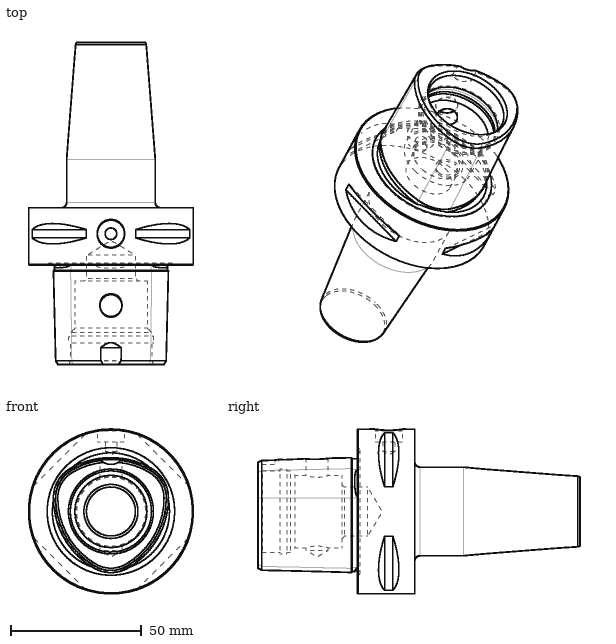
import cadquery as cq
import math


total_length = 123
shank_length = 37.9
flange_length = 22.0
neck_length = 18.5
nose_end = total_length - shank_length
neck_end = flange_length + neck_length

flange_radius = 31.5
flange_chamfer = 0.4
neck_radius = 17.0
nose_tip_radius = 13.5
nose_tip_chamfer_length = 0.9
nose_tip_chamfer_inset = 0.4
neck_fillet = 2.0

lobe_center_distance = 10.3
lobe_radius = 13.0
lobe_angles = (30, 150, 270)
flank_radius = lobe_radius + lobe_center_distance * math.sqrt(3)
flat_height = flank_radius - lobe_center_distance
taper_per_length = 1 / 40
shank_taper = math.degrees(math.atan(taper_per_length))
shank_end_chamfer_length = 1.5
shank_end_chamfer_angle = 30
undercut_length = 1.8
undercut_depth = 0.4
edge_chamfer_angle = 45

relief_groove_radius = 23.4
relief_groove_section = 1.0

bore_entry_radius = 16.2
bore_entry_length = 1.7
bore_radius = 15.5
clamping_groove_radius = 16.2
clamping_groove_start = 8.4
clamping_groove_end = 11.1
lead_cone_start = 12.3
inner_bore_radius = 13.8
inner_bore_depth = 32
core_hole_chamfer = 1.0
core_hole_radius = 9.3
core_hole_depth = 41.8
drill_half_angle = 59

gripper_position = 12.0
gripper_floor_width = 3.2
gripper_floor_distance = 27.9
gripper_wall_angle = 33

coding_hole_radius = 5.2
coding_hole_floor = 26.7
coding_pilot_radius = 2.2
coding_pilot_depth = 3.7

shank_hole_position = -15.4
shank_hole_radius = 4.2
shank_hole_floor = -14.8
hole_chamfer = 0.31

keyway_radius = 5.5
keyway_floor = 18.0
keyway_length = 6.4
keyway_tip_half_angle = 45


def revolve_about_y(points):
    """Revolve a closed outline of (radius, y) points about the tool axis."""
    return cq.Workplane("XY").polyline(points).close().revolve(360, (0, 0, 0), (0, 1, 0))


def drill_tip_length(radius):
    return radius / math.tan(math.radians(drill_half_angle))


def shank_prism(start, length, inset=0, taper=0):
    """Polygonal prism from depth `start` towards -Y, its outline moved inwards by `inset`.

    Each lobe arc spans 30 degrees to both sides of its lobe, up to the flank arcs.
    """
    small_radius = lobe_radius - inset
    large_radius = flank_radius - inset

    def lobe_point(lobe_angle, normal_angle):
        lobe, normal = math.radians(lobe_angle), math.radians(normal_angle)
        return (
            lobe_center_distance * math.cos(lobe) + small_radius * math.cos(normal),
            lobe_center_distance * math.sin(lobe) + small_radius * math.sin(normal),
        )

    def flank_point(angle):
        distance = large_radius - lobe_center_distance
        return distance * math.cos(math.radians(angle)), distance * math.sin(math.radians(angle))

    plane = cq.Plane(origin=(0, -start, 0), xDir=(1, 0, 0), normal=(0, -1, 0))
    outline = cq.Workplane(plane).moveTo(*lobe_point(lobe_angles[0], lobe_angles[0] - 30))
    for lobe in lobe_angles:
        outline = outline.threePointArc(lobe_point(lobe, lobe), lobe_point(lobe, lobe + 30))
        outline = outline.threePointArc(flank_point(lobe + 60), lobe_point(lobe + 120, lobe + 90))
    return outline.close().extrude(length, taper=taper)


def flange_and_nose():
    body = revolve_about_y([
        (0, 0),
        (flange_radius, 0),
        (flange_radius, flange_length),
        (neck_radius, flange_length),
        (neck_radius, neck_end),
        (nose_tip_radius, nose_end - nose_tip_chamfer_length),
        (nose_tip_radius - nose_tip_chamfer_inset, nose_end),
        (0, nose_end),
    ])
    body = body.faces("<Y").chamfer(flange_chamfer)
    flange_front = body.faces("%PLANE").faces(">Y[-2]")
    neck_corner = flange_front.edges(cq.selectors.RadiusNthSelector(0))
    return neck_corner.fillet(neck_fillet)


def shank():
    undercut = shank_prism(0, undercut_length, undercut_depth)
    edge = shank_prism(undercut_length, undercut_depth, undercut_depth, -edge_chamfer_angle)
    taper_start = undercut_length + undercut_depth
    taper_end = shank_length - shank_end_chamfer_length
    taper_length = taper_end - taper_start
    taper_inset = taper_length * taper_per_length
    taper_body = shank_prism(taper_start, taper_length, 0, shank_taper)
    end = shank_prism(taper_end, shank_end_chamfer_length, taper_inset, shank_end_chamfer_angle)
    return undercut.union(edge).union(taper_body).union(end)


def relief_groove():
    section = cq.Workplane("XY").center(relief_groove_radius, 0).circle(relief_groove_section)
    return section.revolve(360, (-relief_groove_radius, 0, 0), (-relief_groove_radius, 1, 0))


def shank_bore():
    lead_cone_length = bore_radius - inner_bore_radius
    steps = [
        (0, 0),
        (bore_entry_radius, 0),
        (bore_radius, bore_entry_length),
        (bore_radius, lead_cone_start),
        (inner_bore_radius, lead_cone_start + lead_cone_length),
        (inner_bore_radius, inner_bore_depth),
        (core_hole_radius + core_hole_chamfer, inner_bore_depth),
        (core_hole_radius, inner_bore_depth + core_hole_chamfer),
        (core_hole_radius, core_hole_depth),
        (0, core_hole_depth + drill_tip_length(core_hole_radius)),
    ]
    return revolve_about_y([(radius, depth - shank_length) for radius, depth in steps])


def clamping_groove():
    """Groove in the bore with a square rear wall and a rounded far corner."""
    corner_radius = clamping_groove_radius - bore_radius
    corner_start = clamping_groove_end - corner_radius
    corner_offset = corner_radius * math.sqrt(0.5)
    groove = (
        cq.Workplane("XY")
        .moveTo(0, clamping_groove_start)
        .lineTo(clamping_groove_radius, clamping_groove_start)
        .lineTo(clamping_groove_radius, corner_start)
        .threePointArc(
            (bore_radius + corner_offset, corner_start + corner_offset),
            (bore_radius, clamping_groove_end),
        )
        .lineTo(0, clamping_groove_end)
        .close()
        .revolve(360, (0, 0, 0), (0, 1, 0))
    )
    return groove.translate((0, -shank_length, 0))


def gripper_pockets():
    """Four straight pockets with sloping walls across the flange, on its diagonals."""
    depth = flange_radius - gripper_floor_distance
    half_floor = gripper_floor_width / 2
    half_top = half_floor + depth * math.tan(math.radians(gripper_wall_angle))
    profile = [
        (gripper_floor_distance, gripper_position - half_floor),
        (flange_radius, gripper_position - half_top),
        (flange_radius, gripper_position + half_top),
        (gripper_floor_distance, gripper_position + half_floor),
    ]
    pocket = cq.Workplane("XY").polyline(profile).close().extrude(flange_radius, both=True)
    pockets = cq.Workplane("XY")
    for angle in (45, 135, 225, 315):
        pockets = pockets.add(pocket.rotate((0, 0, 0), (0, 1, 0), angle))
    return pockets.combine()


def vertical_hole(y, outline):
    """Round hole from +Z at `y`, given as a (radius, z) outline."""
    hole = cq.Workplane("XZ").polyline(outline).close().revolve(360, (0, 0, 0), (0, 1, 0))
    return hole.translate((0, y, 0))


def coding_hole():
    pilot_floor = coding_hole_floor - coding_pilot_depth
    return vertical_hole(gripper_position, [
        (0, flange_radius),
        (coding_hole_radius + hole_chamfer, flange_radius),
        (coding_hole_radius, flange_radius - 2 * hole_chamfer),
        (coding_hole_radius, coding_hole_floor),
        (coding_pilot_radius, coding_hole_floor),
        (coding_pilot_radius, pilot_floor),
        (0, pilot_floor - drill_tip_length(coding_pilot_radius)),
    ])


def shank_hole():
    rim = flat_height + shank_hole_position * taper_per_length
    return vertical_hole(shank_hole_position, [
        (0, flat_height),
        (shank_hole_radius + hole_chamfer, flat_height),
        (shank_hole_radius + hole_chamfer, rim),
        (shank_hole_radius, rim - hole_chamfer),
        (shank_hole_radius, shank_hole_floor),
        (0, shank_hole_floor - drill_tip_length(shank_hole_radius)),
    ])


def keyway():
    tip_length = keyway_radius / math.tan(math.radians(keyway_tip_half_angle))
    cutter = revolve_about_y([
        (0, 0),
        (keyway_radius, 0),
        (keyway_radius, keyway_length),
        (0, keyway_length + tip_length),
    ])
    return cutter.translate((0, -shank_length, keyway_floor + keyway_radius))


result = flange_and_nose().union(shank())
result = result.cut(relief_groove()).cut(shank_bore()).cut(clamping_groove())
result = result.cut(gripper_pockets()).cut(coding_hole()).cut(shank_hole()).cut(keyway())